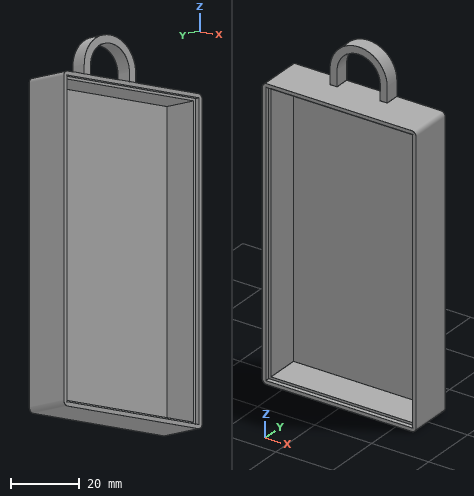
import cadquery as cq

total_height = 114.5
width = 54.0
depth = 15.0

loop_radius = 10.1
loop_thickness = 2.5
loop_depth = 5.0
loop_leg = 5.4

tray_height = total_height - loop_radius - loop_leg
corner_radius = 1.6
wall = 2.1
back_thickness = 2.0
rim = 1.3
recess_depth = 1.5


def box_from_front(inset, front_depth):
    """Block inset from the tray outline, reaching back from the front face."""
    return cq.Workplane("XY").box(
        width - 2 * inset, front_depth, tray_height - 2 * inset, centered=(True, False, True)
    )


def hanging_loop():
    """Upside-down U whose legs stand on the tray and whose back is flush with it."""
    tray_top = tray_height / 2
    arc_center = tray_top + loop_leg
    inner_radius = loop_radius - loop_thickness
    return (
        cq.Workplane("XZ", origin=(0, depth, 0))
        .moveTo(-loop_radius, tray_top)
        .lineTo(-loop_radius, arc_center)
        .threePointArc((0, arc_center + loop_radius), (loop_radius, arc_center))
        .lineTo(loop_radius, tray_top)
        .lineTo(inner_radius, tray_top)
        .lineTo(inner_radius, arc_center)
        .threePointArc((0, arc_center + inner_radius), (-inner_radius, arc_center))
        .lineTo(-inner_radius, tray_top)
        .close()
        .extrude(loop_depth)
    )


tray = box_from_front(0, depth).edges("|Y").fillet(corner_radius)
pocket = box_from_front(wall, depth - back_thickness)
lid_recess = box_from_front(rim, recess_depth)

result = tray.cut(pocket).cut(lid_recess).union(hanging_loop())